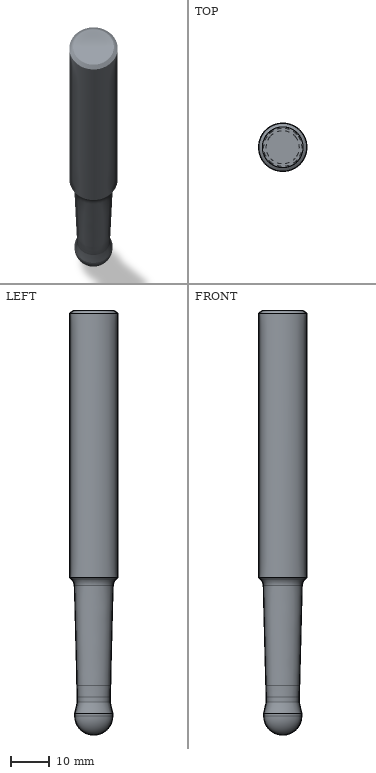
import cadquery as cq

LENGTH = 111.1

SHANK_RADIUS = 6.3
SHANK_BOTTOM_Z = 41.2
SHANK_EDGE_BREAK = 0.3
CHAMFER_HEIGHT = 0.8
CHAMFER_WIDTH = 1.0

STEM_TOP_Z = 39.1
STEM_TOP_RADIUS = 5.1
STEM_BOTTOM_Z = 13.0
STEM_BOTTOM_RADIUS = 4.5

NECK_RADIUS = 4.3
NECK_TOP_Z = 10.0
NECK_BOTTOM_Z = 8.7

BALL_RADIUS = 5.0
TIP_TOP_Z = 5.7


def make_tip():
    """Hemisphere with a short cylindrical land, ending in a flat joint face."""
    hemisphere_mid = BALL_RADIUS * 0.5**0.5
    return (
        cq.Workplane("XZ")
        .moveTo(0, 0)
        .threePointArc((hemisphere_mid, BALL_RADIUS - hemisphere_mid), (BALL_RADIUS, BALL_RADIUS))
        .lineTo(BALL_RADIUS, TIP_TOP_Z)
        .lineTo(0, TIP_TOP_Z)
        .close()
        .revolve(360, (0, 0), (0, 1))
    )


def make_shank():
    """Turned holder: relief, neck, tapered stem, flare and chamfered shank."""
    return (
        cq.Workplane("XZ")
        .moveTo(0, TIP_TOP_Z)
        .lineTo(BALL_RADIUS, TIP_TOP_Z)
        .lineTo(NECK_RADIUS, NECK_BOTTOM_Z)
        .lineTo(NECK_RADIUS, NECK_TOP_Z)
        .lineTo(STEM_BOTTOM_RADIUS, STEM_BOTTOM_Z)
        .lineTo(STEM_TOP_RADIUS, STEM_TOP_Z)
        .tangentArcPoint(
            (SHANK_RADIUS - SHANK_EDGE_BREAK, SHANK_BOTTOM_Z - SHANK_EDGE_BREAK), relative=False
        )
        .lineTo(SHANK_RADIUS, SHANK_BOTTOM_Z)
        .lineTo(SHANK_RADIUS, LENGTH - CHAMFER_HEIGHT)
        .lineTo(SHANK_RADIUS - CHAMFER_WIDTH, LENGTH)
        .lineTo(0, LENGTH)
        .close()
        .revolve(360, (0, 0), (0, 1))
    )


tip = make_tip()
shank = make_shank()
result = cq.Compound.makeCompound([tip.val(), shank.val()])